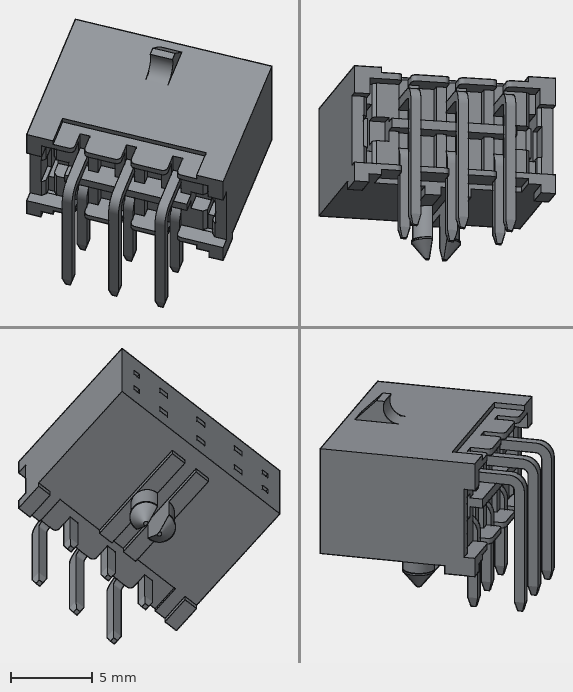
import cadquery as cq
import math


width = 12.73
depth = 9.93
height = 6.89
half_width = width / 2

columns = 3
pitch = 3.0
pin_size = 0.64
bend_radius = 1.0
upper_pin_top = 5.23
upper_pin_rear = -2.3
pin_tip_z = -3.69
pin_tip_length = 0.62
pin_tip_size = 0.3
column_x = [(i - (columns - 1) / 2) * pitch for i in range(columns)]
lower_pin_top = upper_pin_top - pitch
lower_pin_rear = upper_pin_rear + pitch

floor_shelf = 0.69
roof_shelf = 0.74
roof_z = height - roof_shelf
opening_height = roof_z - floor_shelf
core_y = 1.0
side_y = 0.69
corner_block_height = 1.75
side_top = height - corner_block_height

channel_inner = 4.96
channel_outer = 5.38
channel_end_y = 1.36
channel_chamfer = 0.23
channel_sump = 0.13
window_height = 0.57
window_bottoms = (1.85, 4.29)
well_end_y = 2.55
wall_pocket_outer = 5.65
wall_pocket_bottom = 1.96
wall_pocket_top = 3.95

notch_inner = 3.96
notch_bottom = 2.46
notch_top = 3.98
notch_end_y = 2.04
bar_bottom = 3.13
bar_height = 0.59
bar_rear_y = 0.19
core_pocket_width = 1.1
core_pocket_depth = 0.61

shelf_recess_half_width = 4.65
shelf_recess_depth = 1.93
shelf_recess_height = 0.33
slot_end_y = lower_pin_rear + pin_size
slot_mouth_radius = 0.32

foot_height = 0.52
foot_width = 0.93
post_gap = 0.9
post_radius = 1.0
post_y = 5.3
post_barb_z = -2.53
post_barb_offset = 0.08
post_barb_height = 0.11
post_tip_radius = 0.15
rail_end_y = 8.91

latch_width = 1.44
latch_height = 1.39
latch_front_y = 9.35
latch_curve_radius = 0.98
latch_curve_y = 6.53


def box(x_range, y_range, z_range):
    """Box between the given pairs of limits."""
    (x0, x1), (y0, y1), (z0, z1) = x_range, y_range, z_range
    return cq.Workplane("XY").box(x1 - x0, y1 - y0, z1 - z0, centered=False).translate((x0, y0, z0))


def both_sides(shape):
    """The shape together with its mirror image across X = 0."""
    return shape.union(shape.mirror("YZ"))


def pin(x, top, rear):
    """Square pin: a leg along Y, a rounded bend and a leg going down to a tapered tip."""
    inner_radius = bend_radius - pin_size
    taper_z = pin_tip_z + pin_tip_length
    bend_y = rear + bend_radius
    bend_z = top - bend_radius
    diagonal = math.sqrt(0.5)
    body = (
        cq.Workplane("YZ")
        .moveTo(depth, top)
        .lineTo(bend_y, top)
        .threePointArc((bend_y - bend_radius * diagonal, bend_z + bend_radius * diagonal), (rear, bend_z))
        .lineTo(rear, taper_z)
        .lineTo(rear + pin_size, taper_z)
        .lineTo(rear + pin_size, bend_z)
        .threePointArc(
            (bend_y - inner_radius * diagonal, bend_z + inner_radius * diagonal),
            (bend_y, top - pin_size),
        )
        .lineTo(depth, top - pin_size)
        .close()
        .extrude(pin_size / 2, both=True)
    )
    tip = (
        cq.Workplane("XY", origin=(0, rear + pin_size / 2, pin_tip_z))
        .rect(pin_tip_size, pin_tip_size)
        .workplane(offset=pin_tip_length)
        .rect(pin_size, pin_size)
        .loft(combine=True)
    )
    return body.union(tip).translate((x, 0, 0))


def side_channels():
    """Channels beside the core: each has a chamfered mouth, a sump, a deeper well and two windows."""
    channel = box((channel_inner, channel_outer), (0, channel_end_y), (floor_shelf, roof_z))
    mouth = (
        cq.Workplane("XY", origin=(0, 0, floor_shelf))
        .moveTo(channel_inner - channel_chamfer, core_y)
        .lineTo(channel_inner, core_y + channel_chamfer)
        .lineTo(channel_outer, side_y + channel_chamfer)
        .lineTo(channel_outer + channel_chamfer, side_y)
        .lineTo(channel_outer, side_y)
        .lineTo(channel_inner, core_y)
        .close()
        .extrude(opening_height)
    )
    corner_block = box((channel_outer, half_width), (0, core_y), (side_top, height))
    channel = channel.union(mouth.cut(corner_block))
    sump = box(
        (channel_inner - channel_chamfer, channel_outer),
        (core_y, channel_end_y),
        (floor_shelf - channel_sump, floor_shelf),
    )
    well = box(
        (channel_inner, channel_outer),
        (channel_end_y, well_end_y),
        (window_bottoms[0], window_bottoms[-1] + window_height),
    )
    wall_pocket = box(
        (channel_outer, wall_pocket_outer),
        (side_y, notch_end_y),
        (wall_pocket_bottom, wall_pocket_top),
    )
    channel = channel.union(sump).union(well).union(wall_pocket)
    for bottom in window_bottoms:
        window = box((channel_inner, channel_outer), (0, depth), (bottom, bottom + window_height))
        channel = channel.union(window)
    return both_sides(channel)


def rear_opening():
    """Space between the shelves in front of the core and the cut-back side walls."""
    centre = box((-channel_outer, channel_outer), (0, core_y), (floor_shelf, roof_z))
    side = box((channel_outer, half_width), (0, side_y), (floor_shelf, side_top))
    notch = box((notch_inner, channel_inner), (core_y, notch_end_y), (notch_bottom, notch_top))
    return centre.union(both_sides(side.union(notch)))


def core_pockets():
    """Upright pockets in the core, midway between the pin columns."""
    pockets = cq.Workplane("XY")
    for left, right in zip(column_x, column_x[1:]):
        middle = (left + right) / 2
        pocket = box(
            (middle - core_pocket_width / 2, middle + core_pocket_width / 2),
            (core_y, core_y + core_pocket_depth),
            (floor_shelf, roof_z),
        )
        pockets = pockets.add(pocket)
    return pockets.combine()


def pin_slot(x):
    """Upright slot for one pin column through both shelves, with a rounded mouth."""
    half_slot = pin_size / 2
    half_mouth = half_slot + slot_mouth_radius
    diagonal = slot_mouth_radius * (1 - math.sqrt(0.5))
    return (
        cq.Workplane("XY")
        .moveTo(-half_mouth, 0)
        .threePointArc((-half_slot - diagonal, diagonal), (-half_slot, slot_mouth_radius))
        .lineTo(-half_slot, slot_end_y)
        .lineTo(half_slot, slot_end_y)
        .lineTo(half_slot, slot_mouth_radius)
        .threePointArc((half_slot + diagonal, diagonal), (half_mouth, 0))
        .close()
        .extrude(height)
        .translate((x, 0, 0))
    )


def shelf_recesses():
    """Shallow recesses at the rear of the top face and of the underside."""
    recess = box(
        (-shelf_recess_half_width, shelf_recess_half_width),
        (0, shelf_recess_depth),
        (0, shelf_recess_height),
    )
    return recess.union(recess.translate((0, 0, height - shelf_recess_height)))


def feet():
    """Corner feet at the rear of the underside."""
    return both_sides(
        box((half_width - foot_width, half_width), (0, shelf_recess_depth), (-foot_height, 0))
    )


def half_posts():
    """Split locating post: two half-round posts with barbed conical ends, each on a rail."""
    shank = cq.Workplane("XY").circle(post_radius).extrude(post_barb_z)
    end = (
        cq.Workplane("XZ")
        .moveTo(0, post_barb_z)
        .lineTo(post_radius, post_barb_z)
        .lineTo(post_radius, post_barb_z - post_barb_height)
        .lineTo(post_tip_radius, pin_tip_z)
        .lineTo(0, pin_tip_z)
        .close()
        .revolve(360, (0, 0, 0), (0, 1, 0))
        .translate((post_barb_offset, 0, 0))
    )
    outer_half = box((0, 2 * post_radius), (-post_radius, post_radius), (pin_tip_z, 0))
    half_post = shank.union(end).intersect(outer_half).translate((post_gap / 2, post_y, 0))
    rail = box(
        (post_gap / 2, post_gap / 2 + post_radius),
        (shelf_recess_depth, rail_end_y),
        (-foot_height, 0),
    )
    return both_sides(half_post.union(rail))


def latch():
    """Locking ramp on the top face, hollowed by an arc on its rear side."""
    rise = latch_height - latch_curve_radius
    lip_y = latch_curve_y + math.sqrt(latch_curve_radius**2 - rise**2)
    diagonal = latch_curve_radius * math.sqrt(0.5)
    return (
        cq.Workplane("YZ", origin=(0, 0, height))
        .moveTo(latch_curve_y, 0)
        .lineTo(latch_front_y, 0)
        .lineTo(latch_front_y - latch_height, latch_height)
        .lineTo(lip_y, latch_height)
        .threePointArc((latch_curve_y + diagonal, latch_curve_radius - diagonal), (latch_curve_y, 0))
        .close()
        .extrude(latch_width / 2, both=True)
    )


pins = [pin(x, upper_pin_top, upper_pin_rear) for x in column_x]
pins += [pin(x, lower_pin_top, lower_pin_rear) for x in column_x]

housing = box((-half_width, half_width), (0, depth), (0, height))
housing = housing.cut(rear_opening())
housing = housing.cut(side_channels())
housing = housing.cut(core_pockets())
housing = housing.cut(shelf_recesses())
for x in column_x:
    housing = housing.cut(pin_slot(x))
bar = box(
    (-notch_inner, notch_inner),
    (bar_rear_y, core_y + core_pocket_depth),
    (bar_bottom, bar_bottom + bar_height),
)
housing = housing.union(bar)
housing = housing.union(feet())
housing = housing.union(half_posts())
housing = housing.union(latch())
for each_pin in pins:
    housing = housing.cut(each_pin)

result = cq.Compound.makeCompound([housing.val(), *[each_pin.val() for each_pin in pins]])